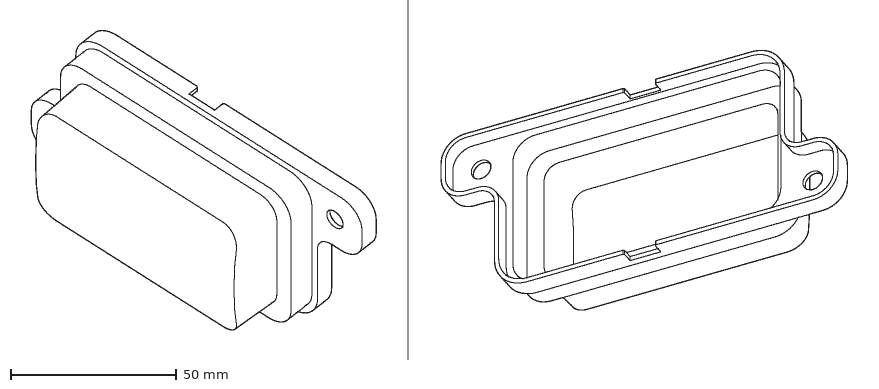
import cadquery as cq
import math

total_length = 134.7
total_depth = 34.3
total_height = 60.7

plate_thickness = 6.5
body_length = 98.5
body_corner_radius = 11.2
ear_height = 22.5
ear_corner_radius = 8.4
ear_blend_radius = 5.7
hole_diameter = 6.6
hole_x = 56.3
hole_z = 19.4

collar_depth = 9.4
collar_length = 93.9
collar_height = 55.6
collar_corner_radius = 9.0

knob_length = 82.3
knob_height = 45.0
knob_end_length = 80.8
knob_end_height = 44.5
knob_corner_radius = 6.7
crown_flat_height = 7.0
crown_drop = 2.3

wall = 1.5

notch_width = 10.4
notch_depth = 4.0
notch_edge_chamfer = 0.4

front_y = -total_depth
collar_front_y = -(plate_thickness + collar_depth)


def xz_plane(y):
    """Workplane at the given Y, with X and Z as its axes and its normal toward -Y."""
    return cq.Workplane("XZ", origin=(0, y, 0))


def rounded_corners(solid, x, z, radius):
    """Round the corner at (x, z) and the one opposite it across the part's center."""
    for side in (1, -1):
        corner = cq.selectors.NearestToPointSelector((side * x, -plate_thickness / 2, side * z))
        solid = solid.edges("|Y").edges(corner).fillet(radius)
    return solid


def make_plate(inset):
    """Plate with ears, its outline and front face moved inward by the inset."""
    thickness = plate_thickness - inset
    half_body = body_length / 2 - inset
    half_height = total_height / 2 - inset
    ear_end_x = total_length / 2 - inset
    ear_inner_z = total_height / 2 - ear_height + inset

    plate = xz_plane(0).rect(2 * half_body, 2 * half_height).extrude(thickness)
    for side in (1, -1):
        ear = (
            xz_plane(0)
            .center(side * ear_end_x / 2, side * (half_height + ear_inner_z) / 2)
            .rect(ear_end_x, half_height - ear_inner_z)
            .extrude(thickness)
        )
        plate = plate.union(ear)
    plate = plate.clean()

    plate = rounded_corners(plate, ear_end_x, half_height, ear_corner_radius - inset)
    plate = rounded_corners(plate, ear_end_x, ear_inner_z, ear_corner_radius - inset)
    plate = rounded_corners(plate, half_body, ear_inner_z, ear_blend_radius + inset)
    return rounded_corners(plate, half_body, -half_height, body_corner_radius - inset)


def make_collar(inset):
    """Collar block reaching from the mounting face to the foot of the knob."""
    return (
        xz_plane(0)
        .rect(collar_length - 2 * inset, collar_height - 2 * inset)
        .extrude(-collar_front_y - inset)
        .edges("|Y")
        .fillet(collar_corner_radius - inset)
    )


def make_crown_envelope():
    """Bar along X whose front is a flat strip running tangentially into two arcs."""
    flat_z = crown_flat_height / 2
    edge_z = knob_height / 2
    edge_y = front_y + crown_drop
    run = edge_z - flat_z
    crown_radius = (run**2 + crown_drop**2) / (2 * crown_drop)
    mid_z = flat_z + run / 2
    mid_y = front_y + crown_radius - math.sqrt(crown_radius**2 - (run / 2) ** 2)
    return (
        cq.Workplane("YZ")
        .moveTo(0, -edge_z)
        .lineTo(edge_y, -edge_z)
        .threePointArc((mid_y, -mid_z), (front_y, -flat_z))
        .lineTo(front_y, flat_z)
        .threePointArc((mid_y, mid_z), (edge_y, edge_z))
        .lineTo(0, edge_z)
        .close()
        .extrude(knob_length / 2, both=True)
    )


def make_knob(inset):
    """Tapered knob trimmed by the crown, with all faces moved inward by the inset."""
    start_y = collar_front_y + inset

    def section(length, height):
        outline = cq.Sketch().rect(length - 2 * inset, height - 2 * inset)
        return outline.vertices().fillet(knob_corner_radius - inset)

    base = section(knob_length, knob_height)
    end = section(knob_end_length, knob_end_height)
    end = end.moved(cq.Location(cq.Vector(0, 0, start_y - front_y)))
    tapered = xz_plane(start_y).placeSketch(base, end).loft()
    return tapered.intersect(make_crown_envelope().translate((0, inset, 0)))


def make_body(inset):
    return make_plate(inset).union(make_collar(inset)).union(make_knob(inset))


def make_holes():
    return (
        xz_plane(0)
        .pushPoints([(hole_x, hole_z), (-hole_x, -hole_z)])
        .circle(hole_diameter / 2)
        .extrude(plate_thickness)
    )


def make_notches():
    """Bar cutting the top and bottom walls, widening at the mounting face."""
    half = notch_width / 2
    mouth = half + notch_edge_chamfer
    return (
        cq.Workplane("XY")
        .polyline([
            (-mouth, 0),
            (-half, -notch_edge_chamfer),
            (-half, -notch_depth),
            (half, -notch_depth),
            (half, -notch_edge_chamfer),
            (mouth, 0),
        ])
        .close()
        .extrude(total_height / 2, both=True)
    )


outer_body = make_body(0)
cavity = make_body(wall)
result = outer_body.cut(cavity).cut(make_holes()).cut(make_notches())